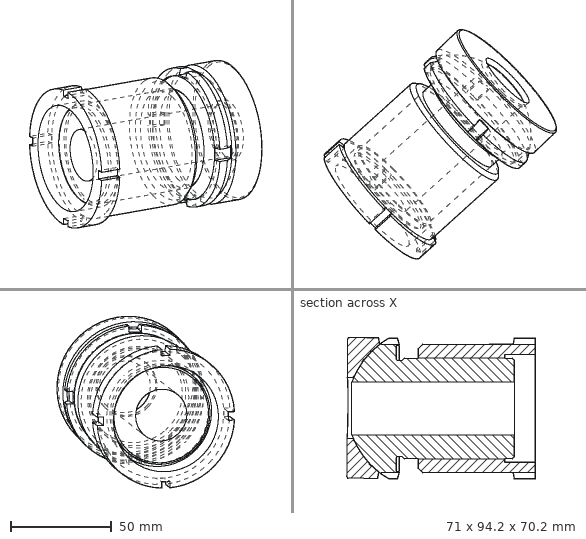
import cadquery as cq
import math


rim_radius = 35.0
rim_inner_radius = 32.0
rim_bevel_height = 0.6

sleeve_radius = rim_inner_radius
sleeve_length = 58.1
sleeve_chamfer = 2.2
flange_edge_height = 10.5
flange_height = flange_edge_height + rim_bevel_height
recess_radius = 26.7
recess_depth = 15.1

thread_radius = 25.0
thread_chamfer = 0.9
neck_radius = thread_radius - thread_chamfer
bore_radius = 13.0
spindle_start = 10.4
thread_end = 65.0
neck_start = thread_end + thread_chamfer
neck_fillet = 0.7
thread_cone_angle = math.radians(45)
neck_fillet_tangent = neck_fillet * math.tan(thread_cone_angle / 2)
collar_start = 67.4
collar_edge_start = 68.3
collar_edge_end = 72.6
collar_recess_radius = 31.1
collar_recess_depth = 1.4
collar_recess_floor = collar_start + collar_recess_depth
sphere_radius = 40.0
sphere_center = collar_edge_end - math.sqrt(sphere_radius**2 - rim_radius**2)

slot_count = 4
slot_overcut = 0.9
slot_floor_radius = 31.8
flange_slot_width = 4.2
collar_slot_width = 6.3
collar_slot_end = 76.3

cap_start = 77.4
cap_end = 93.3
cap_chamfer_width = 0.9
cap_chamfer_height = 0.6
cap_bore_radius = 15.1
cap_tilt_about_x = 0.4
cap_tilt_about_z = 1.5


def revolve_profile(profile):
    """Turn a closed (radius, Y) profile around the Y axis."""
    return profile.close().revolve(360, (0, 0), (0, 1))


def sphere_height(radius):
    """Y of the ball surface at a given distance from the axis."""
    return sphere_center + math.sqrt(sphere_radius**2 - radius**2)


def cut_wrench_slots(body, width, start, end):
    """Cut flat-floored slots into the rim, evenly spaced around the Y axis."""
    depth = rim_radius - slot_floor_radius + slot_overcut
    slot = cq.Workplane("XY").box(width, end - start, depth, centered=(True, False, False))
    slot = slot.translate((0, start, slot_floor_radius))
    for index in range(slot_count):
        body = body.cut(slot.rotate((0, 0, 0), (0, 1, 0), index * 360 / slot_count))
    return body


def make_sleeve():
    """Flanged sleeve with a front recess and a bore that holds the spindle."""
    profile = cq.Workplane("ZY").polyline([
        (recess_radius, 0),
        (rim_radius, 0),
        (rim_radius, flange_edge_height),
        (sleeve_radius, flange_height),
        (sleeve_radius, sleeve_length - sleeve_chamfer),
        (sleeve_radius - sleeve_chamfer, sleeve_length),
        (thread_radius, sleeve_length),
        (thread_radius, recess_depth),
        (recess_radius, recess_depth),
    ])
    return cut_wrench_slots(revolve_profile(profile), flange_slot_width, 0, flange_height)


def make_spindle():
    """Hollow spindle with a slotted collar and a ball surface facing the cap."""
    cone_drop = neck_fillet_tangent * math.cos(thread_cone_angle)
    middle_radius = (rim_radius + bore_radius) / 2
    profile = (
        cq.Workplane("XY")
        .moveTo(bore_radius, spindle_start)
        .lineTo(neck_radius, spindle_start)
        .lineTo(thread_radius, spindle_start + thread_chamfer)
        .lineTo(thread_radius, thread_end)
        .lineTo(neck_radius + cone_drop, neck_start - cone_drop)
        .tangentArcPoint((neck_radius, neck_start + neck_fillet_tangent), relative=False)
        .lineTo(neck_radius, collar_recess_floor - neck_fillet)
        .tangentArcPoint((neck_radius + neck_fillet, collar_recess_floor), relative=False)
        .lineTo(collar_recess_radius, collar_recess_floor)
        .lineTo(collar_recess_radius, collar_start)
        .lineTo(rim_inner_radius, collar_start)
        .lineTo(rim_radius, collar_edge_start)
        .lineTo(rim_radius, collar_edge_end)
        .threePointArc((middle_radius, sphere_height(middle_radius)), (bore_radius, sphere_height(bore_radius)))
    )
    return cut_wrench_slots(revolve_profile(profile), collar_slot_width, collar_start, collar_slot_end)


def make_cap():
    """Ring with a ball seat, tilted on the spindle."""
    profile = cq.Workplane("ZY").polyline([
        (cap_bore_radius, cap_start),
        (rim_inner_radius, cap_start),
        (rim_radius, cap_start + rim_bevel_height),
        (rim_radius, cap_end - cap_chamfer_height),
        (rim_radius - cap_chamfer_width, cap_end),
        (cap_bore_radius, cap_end),
    ])
    seat = cq.Workplane("XY").sphere(sphere_radius).translate((0, sphere_center, 0))
    cap = revolve_profile(profile).cut(seat)
    pivot = cq.Vector(0, sphere_center, 0)
    cap = cap.rotate(pivot, pivot + cq.Vector(0.9, 0, 0), cap_tilt_about_x)
    return cap.rotate(pivot, pivot + cq.Vector(0, 0, 0.9), -cap_tilt_about_z)


sleeve = make_sleeve()
spindle = make_spindle()
cap = make_cap()

result = cq.Compound.makeCompound([sleeve.val(), spindle.val(), cap.val()])